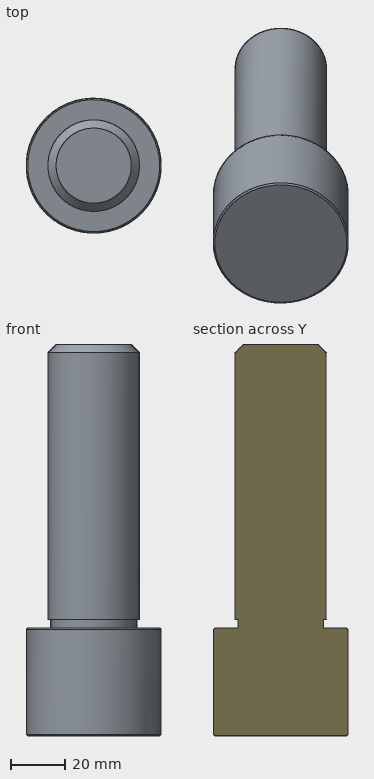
import cadquery as cq

total_length = 145.0
head_diameter = 50.0
head_height = 40.0
head_edge_chamfer = 0.6
neck_diameter = 32.0
neck_height = 3.0
shank_diameter = 34.0
tip_chamfer = 3.0

head = (
    cq.Workplane("XY")
    .circle(head_diameter / 2)
    .extrude(head_height)
    .edges()
    .chamfer(head_edge_chamfer)
)

neck = head.faces(">Z").workplane().circle(neck_diameter / 2).extrude(neck_height, combine=False)

shank_start = head_height + neck_height
shank = (
    cq.Workplane("XY", origin=(0, 0, shank_start))
    .circle(shank_diameter / 2)
    .extrude(total_length - shank_start)
    .faces(">Z")
    .chamfer(tip_chamfer)
)

result = head.union(neck).union(shank)